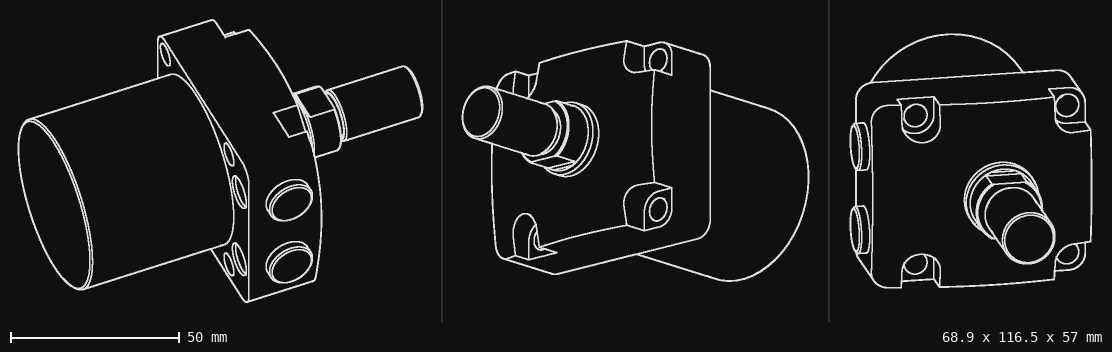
import cadquery as cq
import math

TOTAL_LENGTH = 116.5
BARREL_LENGTH = 46.5
ROD_TIP_Y = TOTAL_LENGTH - BARREL_LENGTH

BARREL_DIAMETER = 53.0
BARREL_CHAMFER = 0.6
BLOCK_WIDTH = 65.9
BLOCK_HEIGHT = 57.0
BLOCK_CORNER_RADIUS = 5.0
BLOCK_LEFT_X = -BLOCK_HEIGHT / 2
BLOCK_RIGHT_X = BLOCK_LEFT_X + BLOCK_WIDTH

CAP_Y = 30.0
CAP_FLAT_RADIUS = 13.6
CONE_ANGLE_DEGREES = 15
CONE_SLOPE = math.tan(math.radians(CONE_ANGLE_DEGREES))
CONE_OUTER_RADIUS = math.hypot(BLOCK_RIGHT_X, BLOCK_HEIGHT / 2)
CONE_EDGE_Y = CAP_Y - (CONE_OUTER_RADIUS - CAP_FLAT_RADIUS) * CONE_SLOPE

BOLT_SPACING = 46.0
BOLT_HOLE_DIAMETER = 7.0
SEAT_Y = 17.0
SEAT_DIAMETER = 11.2

PORT_X = 30.5
PORT_SPACING = 28.1
PORT_DIAMETER = 10.0
PORT_DEPTH = 1.0

COLLAR_DIAMETER = 22.0
COLLAR_CHAMFER_Y = 32.6
SHOULDER_DIAMETER = 20.0
COLLAR_END_Y = COLLAR_CHAMFER_Y + (COLLAR_DIAMETER - SHOULDER_DIAMETER) / 2
SHOULDER_Y = 42.5
SHOULDER_CHAMFER = 0.3
ACROSS_FLATS = 17.0
FLATS_START_Y = 34.4
NECK_DIAMETER = 14.0
THREAD_DIAMETER = 16.0
THREAD_START_Y = 44.5
THREAD_CHAMFER = 0.6

PLUG_DIAMETER = 14.0
PLUG_LENGTH = 3.0
PLUG_CHAMFER = 0.6
PLUG_Y = 12.6
PLUG_SPACING = 26.0


def cylinder_along_y(diameter, start_y, end_y, x=0, z=0):
    """Cylinder parallel to Y between two Y positions."""
    base = cq.Workplane("XZ", origin=(x, start_y, z))
    return base.circle(diameter / 2).extrude(start_y - end_y)


def revolve_about_y(profile):
    """Turned solid from (radius, Y) points."""
    return cq.Workplane("XY").polyline(profile).close().revolve(360, (0, 0), (0, 1))


def box_between(x_limits, y_limits, z_limits):
    """Box given by two opposite values on each axis."""
    spans = [sorted(limits) for limits in (x_limits, y_limits, z_limits)]
    size = [high - low for low, high in spans]
    return cq.Workplane("XY").box(*size, centered=False).translate(tuple(low for low, _ in spans))


def make_block():
    """Rounded block whose cap is a flat disc surrounded by a shallow cone."""
    block = box_between(
        (BLOCK_LEFT_X, BLOCK_RIGHT_X),
        (0, CAP_Y),
        (-BLOCK_HEIGHT / 2, BLOCK_HEIGHT / 2),
    )
    block = block.edges("|Y").fillet(BLOCK_CORNER_RADIUS)
    cap_envelope = revolve_about_y([
        (0, 0),
        (CONE_OUTER_RADIUS, 0),
        (CONE_OUTER_RADIUS, CONE_EDGE_Y),
        (CAP_FLAT_RADIUS, CAP_Y),
        (0, CAP_Y),
    ])
    return block.intersect(cap_envelope)


def make_barrel():
    barrel = cylinder_along_y(BARREL_DIAMETER, -BARREL_LENGTH, 0)
    return barrel.faces("<Y").chamfer(BARREL_CHAMFER)


def make_screw_seat(x_side, z_side):
    """Round seat around a bolt hole, open to the block side above or below it.

    On the left the seat is open to the end of the block as well.
    """
    x = x_side * BOLT_SPACING / 2
    z = z_side * BOLT_SPACING / 2
    radius = SEAT_DIAMETER / 2
    depth = (SEAT_Y, CAP_Y)
    outer_z = z_side * BLOCK_HEIGHT / 2
    seat = cylinder_along_y(SEAT_DIAMETER, SEAT_Y, CAP_Y, x, z)
    seat = seat.union(box_between((x - radius, x + radius), depth, (z, outer_z)))
    if x_side < 0:
        seat = seat.union(box_between((BLOCK_LEFT_X, x), depth, (z - z_side * radius, outer_z)))
    return seat


def make_housing():
    housing = make_block().union(make_barrel())
    for z_side in (-1, 1):
        for x_side in (-1, 1):
            hole_x = x_side * BOLT_SPACING / 2
            hole_z = z_side * BOLT_SPACING / 2
            housing = housing.cut(cylinder_along_y(BOLT_HOLE_DIAMETER, 0, CAP_Y, hole_x, hole_z))
            housing = housing.cut(make_screw_seat(x_side, z_side))
        port_z = z_side * PORT_SPACING / 2
        housing = housing.cut(cylinder_along_y(PORT_DIAMETER, 0, PORT_DEPTH, PORT_X, port_z))
    return housing


def make_wrench_flat_cut(z_side):
    """Cutter for one wrench flat, with a 45 degree run-out that stops at the collar."""
    flat_z = ACROSS_FLATS / 2
    outer_z = COLLAR_DIAMETER / 2
    run_out = FLATS_START_Y - COLLAR_END_Y
    profile = [
        (SHOULDER_Y, z_side * flat_z),
        (FLATS_START_Y, z_side * flat_z),
        (COLLAR_END_Y, z_side * (flat_z + run_out)),
        (COLLAR_END_Y, z_side * outer_z),
        (SHOULDER_Y, z_side * outer_z),
    ]
    return cq.Workplane("YZ").polyline(profile).close().extrude(COLLAR_DIAMETER / 2, both=True)


def make_rod():
    """Turned rod with collar, shoulder, neck and thread, standing on the flat cap."""
    collar_radius = COLLAR_DIAMETER / 2
    shoulder_radius = SHOULDER_DIAMETER / 2
    neck_radius = NECK_DIAMETER / 2
    thread_radius = THREAD_DIAMETER / 2
    rod = revolve_about_y([
        (0, CAP_Y),
        (collar_radius, CAP_Y),
        (collar_radius, COLLAR_CHAMFER_Y),
        (shoulder_radius, COLLAR_END_Y),
        (shoulder_radius, SHOULDER_Y - SHOULDER_CHAMFER),
        (shoulder_radius - SHOULDER_CHAMFER, SHOULDER_Y),
        (neck_radius, SHOULDER_Y),
        (neck_radius, THREAD_START_Y),
        (thread_radius - THREAD_CHAMFER, THREAD_START_Y),
        (thread_radius, THREAD_START_Y + THREAD_CHAMFER),
        (thread_radius, ROD_TIP_Y - THREAD_CHAMFER),
        (thread_radius - THREAD_CHAMFER, ROD_TIP_Y),
        (0, ROD_TIP_Y),
    ])
    for z_side in (-1, 1):
        rod = rod.cut(make_wrench_flat_cut(z_side))
    return rod


def make_plug(z):
    """Round plug standing on the right side of the block, chamfered at its outer end."""
    plug = cq.Workplane("YZ", origin=(BLOCK_RIGHT_X, PLUG_Y, z))
    plug = plug.circle(PLUG_DIAMETER / 2).extrude(PLUG_LENGTH)
    return plug.faces(">X").chamfer(PLUG_CHAMFER)


housing = make_housing()
rod = make_rod()
plugs = [make_plug(z_side * PLUG_SPACING / 2) for z_side in (-1, 1)]

result = cq.Compound.makeCompound([
    housing.val(),
    rod.val(),
    *[plug.val() for plug in plugs],
])